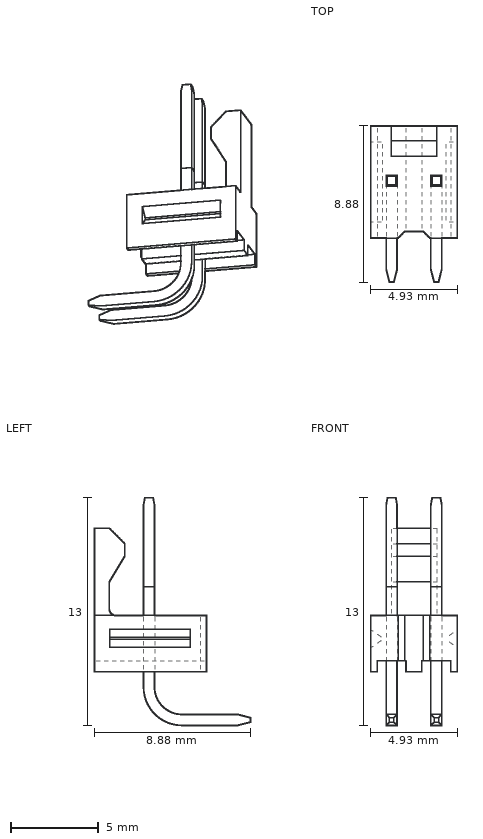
import cadquery as cq

TOTAL_HEIGHT = 12.95
TOTAL_DEPTH = 8.88

HOUSING_WIDTH = 4.93
HOUSING_DEPTH = 6.38
HOUSING_BOTTOM = 3.04
HOUSING_TOP = 6.25
HOUSING_HEIGHT = HOUSING_TOP - HOUSING_BOTTOM

CHANNEL_HEIGHT = 0.63
SIDE_WALL = 0.39
CENTRE_RIB = 0.91
CHANNEL_ROOF = HOUSING_BOTTOM + CHANNEL_HEIGHT
CHANNEL_WIDTH = (HOUSING_WIDTH - CENTRE_RIB) / 2 - SIDE_WALL

NOTCH_MOUTH = 1.81
NOTCH_FLOOR = 1.06
NOTCH_DEPTH = 0.38

POCKET_LENGTH = 4.57
POCKET_HEIGHT = 1.02
POCKET_FLOOR_HEIGHT = 0.12
POCKET_DEPTH = 0.66
POCKET_CENTRE_Y = -3.17
POCKET_CENTRE_Z = 4.95

LATCH_WIDTH = 2.58
LATCH_TOP = 11.21
LATCH_THICKNESS = 0.85
NOSE_REACH = 1.74
NOSE_TOP = LATCH_TOP - (NOSE_REACH - LATCH_THICKNESS)
NOSE_BOTTOM = 9.62
RAMP_BOTTOM = 8.16
LATCH_ROOT_RADIUS = 0.38

PIN_SIZE = 0.63
PIN_PITCH = 2.54
PIN_POSITIONS = (-PIN_PITCH / 2, PIN_PITCH / 2)
PIN_Y = -3.11
POST_BOTTOM = 7.89
POST_TIP_LENGTH = 0.41
POST_TIP_SIZE = 0.48
BEND_INNER_RADIUS = 1.55
BEND_RADIUS = BEND_INNER_RADIUS + PIN_SIZE / 2
TAIL_TIP_LENGTH = 0.74
TAIL_TIP_SIZE = 0.26


def tapered_tip(plane, base_length, base_width, end_length, end_width, length):
    """Truncated pyramid growing along the normal of its base plane."""
    return (
        cq.Workplane(plane)
        .rect(base_length, base_width)
        .workplane(offset=length)
        .rect(end_length, end_width)
        .loft(ruled=True)
    )


def square_bar(x, bottom, top):
    """Vertical length of pin wire."""
    return (
        cq.Workplane("XY", origin=(x, PIN_Y, bottom))
        .rect(PIN_SIZE, PIN_SIZE)
        .extrude(top - bottom)
    )


def make_block():
    """Housing outline with the bevelled notch, extruded upward."""
    half_width = HOUSING_WIDTH / 2
    front = -HOUSING_DEPTH
    return (
        cq.Workplane("XY", origin=(0, 0, HOUSING_BOTTOM))
        .polyline([
            (-half_width, 0),
            (-half_width, front),
            (-NOTCH_MOUTH / 2, front),
            (-NOTCH_FLOOR / 2, front + NOTCH_DEPTH),
            (NOTCH_FLOOR / 2, front + NOTCH_DEPTH),
            (NOTCH_MOUTH / 2, front),
            (half_width, front),
            (half_width, 0),
        ])
        .close()
        .extrude(HOUSING_HEIGHT)
    )


def make_latch():
    """Latch arm with a hooked nose and a rounded root."""
    return (
        cq.Workplane("YZ", origin=(-LATCH_WIDTH / 2, 0, 0))
        .moveTo(0, HOUSING_TOP)
        .lineTo(0, LATCH_TOP)
        .lineTo(-LATCH_THICKNESS, LATCH_TOP)
        .lineTo(-NOSE_REACH, NOSE_TOP)
        .lineTo(-NOSE_REACH, NOSE_BOTTOM)
        .lineTo(-LATCH_THICKNESS, RAMP_BOTTOM)
        .lineTo(-LATCH_THICKNESS, HOUSING_TOP + LATCH_ROOT_RADIUS)
        .radiusArc((-LATCH_THICKNESS - LATCH_ROOT_RADIUS, HOUSING_TOP), LATCH_ROOT_RADIUS)
        .close()
        .extrude(LATCH_WIDTH)
    )


def make_channel(side):
    """Channel cutter running the full depth of the housing."""
    centre_x = side * (CENTRE_RIB + CHANNEL_WIDTH) / 2
    return (
        cq.Workplane("XY", origin=(centre_x, -HOUSING_DEPTH / 2, HOUSING_BOTTOM))
        .rect(CHANNEL_WIDTH, HOUSING_DEPTH)
        .extrude(CHANNEL_HEIGHT)
    )


def make_pocket(side):
    """Side pocket cutter whose top and bottom slope toward a narrow floor."""
    mouth = cq.Plane(
        origin=(side * HOUSING_WIDTH / 2, POCKET_CENTRE_Y, POCKET_CENTRE_Z),
        xDir=(0, 1, 0),
        normal=(-side, 0, 0),
    )
    return tapered_tip(
        mouth, POCKET_LENGTH, POCKET_HEIGHT, POCKET_LENGTH, POCKET_FLOOR_HEIGHT, POCKET_DEPTH
    )


def make_housing():
    housing = make_block().union(make_latch())
    for side in (-1, 1):
        housing = housing.cut(make_channel(side)).cut(make_pocket(side))
    for x in PIN_POSITIONS:
        housing = housing.cut(square_bar(x, CHANNEL_ROOF, HOUSING_TOP))
    return housing


def make_contact_post(x):
    """Upper part of a pin, with a tapered top."""
    tip_base = TOTAL_HEIGHT - POST_TIP_LENGTH
    tip_plane = cq.Plane(origin=(x, PIN_Y, tip_base))
    tip = tapered_tip(
        tip_plane, PIN_SIZE, PIN_SIZE, POST_TIP_SIZE, POST_TIP_SIZE, POST_TIP_LENGTH
    )
    return square_bar(x, POST_BOTTOM, tip_base).union(tip)


def make_pin_core(x):
    """Middle part of a pin, passing through the housing to the post."""
    return square_bar(x, CHANNEL_ROOF, POST_BOTTOM)


def make_bent_tail(x):
    """Lower part of a pin, bent forward and ending in a tapered tip."""
    tail_z = PIN_SIZE / 2
    bend_end_y = PIN_Y - BEND_RADIUS
    tip_base_y = TAIL_TIP_LENGTH - TOTAL_DEPTH
    path = (
        cq.Workplane("YZ", origin=(x, 0, 0))
        .moveTo(PIN_Y, CHANNEL_ROOF)
        .lineTo(PIN_Y, tail_z + BEND_RADIUS)
        .radiusArc((bend_end_y, tail_z), BEND_RADIUS)
        .lineTo(tip_base_y, tail_z)
    )
    wire = (
        cq.Workplane("XY", origin=(x, PIN_Y, CHANNEL_ROOF))
        .rect(PIN_SIZE, PIN_SIZE)
        .sweep(path)
    )
    tip_plane = cq.Plane(origin=(x, tip_base_y, tail_z), xDir=(1, 0, 0), normal=(0, -1, 0))
    tip = tapered_tip(
        tip_plane, PIN_SIZE, PIN_SIZE, TAIL_TIP_SIZE, TAIL_TIP_SIZE, TAIL_TIP_LENGTH
    )
    return wire.union(tip)


housing = make_housing().solids().val()
contact_posts = [make_contact_post(x).solids().val() for x in PIN_POSITIONS]
pin_cores = [make_pin_core(x).solids().val() for x in PIN_POSITIONS]
bent_tails = [make_bent_tail(x).solids().val() for x in PIN_POSITIONS]

result = cq.Compound.makeCompound([housing, *contact_posts, *pin_cores, *bent_tails])